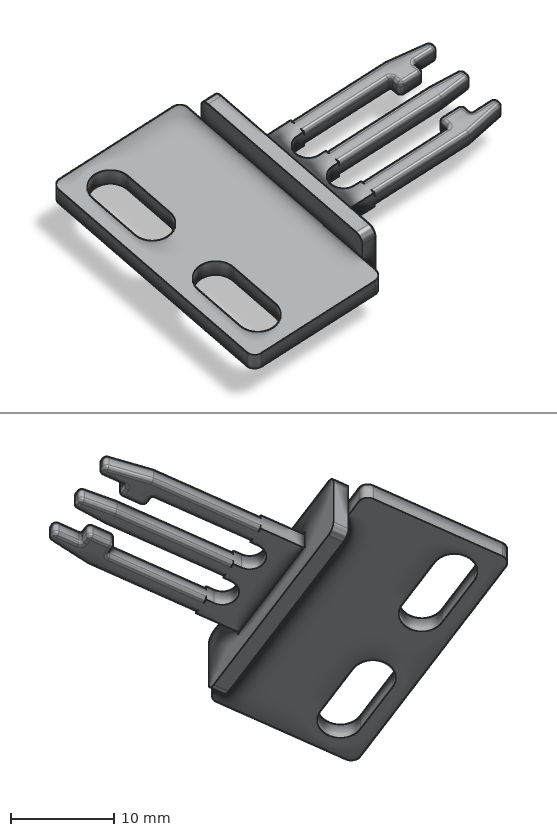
import cadquery as cq

total_length = 40.0
thickness = 2.0
corner_radius = 1.0

plate_width = 30.0
plate_length = 16.5
slot_length = 10.7
slot_width = 4.5
slot_spacing = 15.7
slot_center_y = 4.0

collar_width = 24.0
collar_height = 8.0
collar_depth = 1.7
collar_side_clearance = 0.2
collar_face_clearance = 0.1

tongue_width = 12.5
finger_width = 2.0
gap_floor_offset = 2.3
rounding_offset = 4.8
edge_radius = thickness / 4

side_tip_width = 1.15
side_taper_length = 4.95
middle_tip_width = 1.3
middle_taper_length = 3.9

barb_reach = 1.4
barb_start = 6.0
barb_end = 3.0
barb_root_radius = 0.25

shoulder_y = plate_length
collar_top_y = shoulder_y + collar_depth
gap_floor_y = collar_top_y + gap_floor_offset
rounding_y = collar_top_y + rounding_offset
tip_y = total_length
gap_width = (tongue_width - 3 * finger_width) / 2
gap_center_x = (finger_width + gap_width) / 2
outer_x = tongue_width / 2
inner_x = outer_x - finger_width


def extrude_flat(sketch):
    """Extrude an XY profile to the key thickness, centred on Z = 0."""
    return sketch.extrude(thickness / 2, both=True)


def make_plate():
    plate = extrude_flat(cq.Workplane("XY").rect(plate_width, plate_length))
    plate = plate.edges("|Z").fillet(corner_radius).translate((0, plate_length / 2, 0))
    slot_centers = [(side * slot_spacing / 2, slot_center_y) for side in (-1, 1)]
    slots = extrude_flat(cq.Workplane("XY").pushPoints(slot_centers).slot2D(slot_length, slot_width))
    return plate.cut(slots)


def make_tongue_root():
    """Square-edged part of the tongue, with the round floors of the two gaps."""
    root_length = rounding_y - shoulder_y
    root = extrude_flat(
        cq.Workplane("XY").center(0, shoulder_y + root_length / 2).rect(tongue_width, root_length)
    )
    gap_length = rounding_y - gap_floor_y + gap_width
    gap_centers = [(side * gap_center_x, gap_floor_y + gap_length / 2) for side in (-1, 1)]
    gaps = extrude_flat(cq.Workplane("XY").pushPoints(gap_centers).slot2D(gap_length, gap_width, 90))
    return root.cut(gaps)


def round_free_edges(finger, corners):
    """Round the chosen upright corners, then all top and bottom edges except those at the root end."""
    finger = finger.edges(corners).fillet(edge_radius)
    return finger.faces("<Z or >Z").edges("not <Y").fillet(edge_radius)


def make_middle_finger():
    half_width = finger_width / 2
    half_tip = middle_tip_width / 2
    taper_y = tip_y - middle_taper_length
    outline = cq.Workplane("XY").polyline([
        (-half_width, rounding_y),
        (-half_width, taper_y),
        (-half_tip, tip_y),
        (half_tip, tip_y),
        (half_width, taper_y),
        (half_width, rounding_y),
    ]).close()
    finger = extrude_flat(outline)
    return round_free_edges(finger, "|Z and >Y")


def make_side_finger():
    """Right-hand finger: tapered outside, with a barb pointing towards the middle."""
    barb_x = inner_x - barb_reach
    outline = cq.Workplane("XY").polyline([
        (outer_x, rounding_y),
        (outer_x, tip_y - side_taper_length),
        (inner_x + side_tip_width, tip_y),
        (inner_x, tip_y),
        (inner_x, tip_y - barb_end),
        (barb_x, tip_y - barb_end),
        (barb_x, tip_y - barb_start),
        (inner_x, tip_y - barb_start),
        (inner_x, rounding_y),
    ]).close()
    finger = extrude_flat(outline)
    barb_roots = cq.selectors.BoxSelector(
        (inner_x - barb_root_radius, tip_y - barb_start - barb_root_radius, -thickness),
        (inner_x + barb_root_radius, tip_y - barb_end + barb_root_radius, thickness),
    )
    finger = finger.edges("|Z").edges(barb_roots).fillet(barb_root_radius)
    return round_free_edges(finger, "|Z and (>Y or <X)")


def make_key():
    side_finger = make_side_finger()
    return (
        make_plate()
        .union(make_tongue_root())
        .union(make_middle_finger())
        .union(side_finger)
        .union(side_finger.mirror("YZ"))
    )


def make_collar():
    """Rounded rectangular collar with a clearance opening for the tongue."""
    collar = cq.Workplane("XY").box(collar_width, collar_depth, collar_height)
    collar = collar.edges("|Y").fillet(corner_radius)
    opening = cq.Workplane("XY").box(
        tongue_width + 2 * collar_side_clearance,
        collar_depth,
        thickness + 2 * collar_face_clearance,
    )
    return collar.cut(opening).translate((0, shoulder_y + collar_depth / 2, 0))


key = make_key()
collar = make_collar()

result = cq.Compound.makeCompound([key.val(), collar.val()])